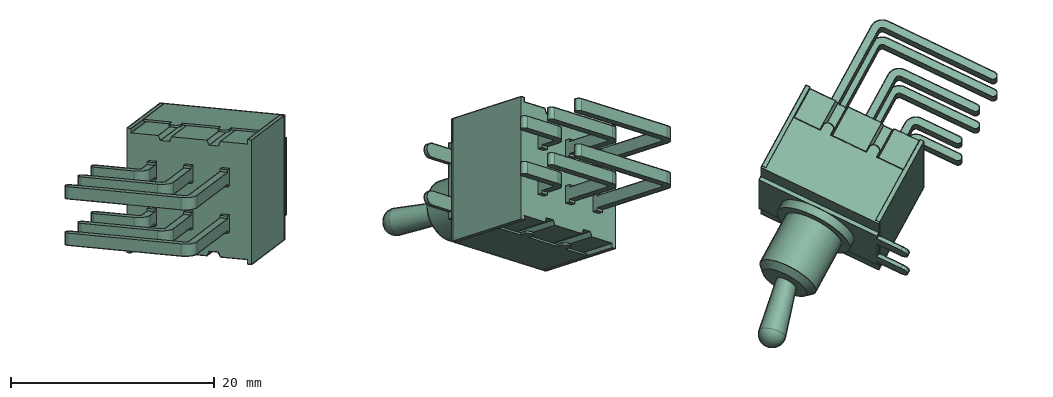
import cadquery as cq
import math


overall_length = 34.8
terminal_reach = 10.8
case_width = 13.0
case_height = 12.7
case_depth = 9.53

sheet = 0.2
rim = 0.45
flap_end_y = 3.55
recess_depth = 0.45
groove_depth = 0.95
groove_top_width = 1.4
groove_floor_width = 0.95
groove_offset = 2.55
tongue_width = 1.15
tongue_length = 1.05
tongue_bulge = 0.35

bracket_thickness = 0.42
bracket_height = 7.85
leg_length = 3.37
leg_width = 1.45
leg_offset = 2.47

collar_diameter = 8.05
collar_thickness = 0.95
bushing_diameter = 6.2
bushing_length = 7.13
bushing_chamfer = 0.65

lever_end_diameter = 2.05
lever_ball_diameter = 2.7
lever_length = 6.23
lever_tilt = 12.5

terminal_pitch = 3.8
terminal_row_offset = 2.35
terminal_thickness = 0.8
terminal_width = 1.25
terminal_tip_x = -9.22
bend_radius = 1.22
shoulder_width = 1.77
shoulder_length = 0.55

cover_top_y = case_depth + sheet
bracket_top_y = cover_top_y + bracket_thickness
collar_top_y = bracket_top_y + collar_thickness
bushing_top_y = bracket_top_y + bushing_length
ball_y = overall_length - terminal_reach - lever_ball_diameter / 2
lever_end_y = ball_y - lever_length * math.cos(math.radians(lever_tilt))

flap_width = case_width - 2 * rim
half_height = case_height / 2
diagonal = math.sqrt(0.5)


def box(x_range, y_range, z_range):
    """Solid block between the given limits."""
    size = [limits[1] - limits[0] for limits in (x_range, y_range, z_range)]
    corner = (x_range[0], y_range[0], z_range[0])
    return cq.Workplane("XY").box(*size, centered=False).translate(corner)


def disc(diameter, y_start, y_end):
    """Cylinder on the bushing axis."""
    plane = cq.Workplane("XZ", origin=(0, y_start, 0))
    return plane.circle(diameter / 2).extrude(-(y_end - y_start))


def both_sides(shape):
    """The shape together with its mirror image in the Z = 0 plane."""
    return shape.union(shape.mirror("XY"))


def make_tongue(center_x):
    shoulder_y = flap_end_y - tongue_length + tongue_bulge
    left = center_x - tongue_width / 2
    right = center_x + tongue_width / 2
    return (
        cq.Workplane("XY", origin=(0, 0, half_height - sheet))
        .moveTo(left, flap_end_y)
        .lineTo(left, shoulder_y)
        .threePointArc((center_x, flap_end_y - tongue_length), (right, shoulder_y))
        .lineTo(right, flap_end_y)
        .close()
        .extrude(sheet)
    )


def make_cover():
    half_width = case_width / 2
    end_plate = box((-half_width, half_width), (case_depth, cover_top_y), (-half_height, half_height))
    flap = box(
        (-flap_width / 2, flap_width / 2),
        (flap_end_y, cover_top_y),
        (half_height - sheet, half_height),
    )
    for center_x in (-groove_offset, groove_offset):
        flap = flap.union(make_tongue(center_x))
    return end_plate.union(both_sides(flap))


def make_side_recess():
    """Shallow recess for a cover flap, which stands clear of the recess floor."""
    half_width = flap_width / 2
    return box((-half_width, half_width), (0, case_depth), (half_height - recess_depth, half_height))


def make_groove(center_x):
    """Groove with sloping sides, running the full depth of the case."""
    floor_z = half_height - groove_depth
    top_z = half_height - recess_depth
    return (
        cq.Workplane("XZ")
        .polyline([
            (center_x - groove_floor_width / 2, floor_z),
            (center_x + groove_floor_width / 2, floor_z),
            (center_x + groove_top_width / 2, top_z),
            (center_x - groove_top_width / 2, top_z),
        ])
        .close()
        .extrude(-case_depth)
    )


def make_terminal(column, row_z):
    """Flat terminal with a shoulder at the case, bent square towards -X."""
    half_thickness = terminal_thickness / 2
    stem_x = column * terminal_pitch
    lowest_arm_y = half_thickness - terminal_reach
    arm_y = lowest_arm_y + (1 - column) * terminal_pitch
    inner_x = stem_x - half_thickness
    outer_x = stem_x + half_thickness
    upper_y = arm_y + half_thickness
    lower_y = arm_y - half_thickness
    inner_radius = bend_radius - terminal_thickness
    bend_x = outer_x - bend_radius
    bend_y = lower_y + bend_radius
    inner_mid = inner_radius * diagonal
    outer_mid = bend_radius * diagonal
    tip_center_x = terminal_tip_x + half_thickness
    strip = (
        cq.Workplane("XY", origin=(0, 0, row_z - terminal_width / 2))
        .moveTo(inner_x, 0)
        .lineTo(inner_x, bend_y)
        .threePointArc((bend_x + inner_mid, bend_y - inner_mid), (bend_x, upper_y))
        .lineTo(tip_center_x, upper_y)
        .threePointArc((terminal_tip_x, arm_y), (tip_center_x, lower_y))
        .lineTo(bend_x, lower_y)
        .threePointArc((bend_x + outer_mid, bend_y - outer_mid), (outer_x, bend_y))
        .lineTo(outer_x, 0)
        .close()
        .extrude(terminal_width)
    )
    shoulder = box(
        (inner_x, outer_x),
        (-shoulder_length, 0),
        (row_z - shoulder_width / 2, row_z + shoulder_width / 2),
    )
    return strip.union(shoulder)


def make_case():
    half_width = case_width / 2
    case = box((-half_width, half_width), (0, case_depth), (-half_height, half_height))
    case = case.cut(both_sides(make_side_recess()))
    for center_x in (-groove_offset, groove_offset):
        case = case.cut(both_sides(make_groove(center_x)))
    for row_z in (-terminal_row_offset, terminal_row_offset):
        for column in (-1, 0, 1):
            case = case.union(make_terminal(column, row_z))
    return case


def make_bracket():
    half_width = case_width / 2
    thickness_range = (cover_top_y, bracket_top_y)
    bracket = box((-half_width, half_width), thickness_range, (-bracket_height / 2, bracket_height / 2))
    leg_radius = leg_width / 2
    round_x = leg_radius - half_width - leg_length
    for center_z in (-leg_offset, leg_offset):
        leg_z = (center_z - leg_radius, center_z + leg_radius)
        leg = box((round_x, -half_width), thickness_range, leg_z)
        leg_tip = disc(leg_width, *thickness_range).translate((round_x, 0, center_z))
        bracket = bracket.union(leg).union(leg_tip)
    return bracket


def make_lever():
    ball_radius = lever_ball_diameter / 2
    ball_mid = ball_radius * diagonal
    upright = (
        cq.Workplane("XY")
        .lineTo(lever_end_diameter / 2, 0)
        .lineTo(ball_radius, lever_length)
        .threePointArc((ball_mid, lever_length + ball_mid), (0, lever_length + ball_radius))
        .close()
        .revolve(360, (0, 0), (0, 1))
    )
    return upright.rotate((0, 0, 0), (0, 0, 1), lever_tilt).translate((0, lever_end_y, 0))


def make_bushing(lever_body):
    bushing = disc(bushing_diameter, bracket_top_y, bushing_top_y)
    bushing = bushing.faces(">Y").chamfer(bushing_chamfer)
    return bushing.cut(lever_body)


def make_collar():
    collar = disc(collar_diameter, bracket_top_y, collar_top_y)
    return collar.cut(disc(bushing_diameter, bracket_top_y, collar_top_y))


case = make_case()
cover = make_cover()
bracket = make_bracket()
collar = make_collar()
lever = make_lever()
bushing = make_bushing(lever)

result = cq.Compound.makeCompound([
    case.solids().val(),
    cover.solids().val(),
    bracket.solids().val(),
    collar.solids().val(),
    bushing.solids().val(),
    lever.solids().val(),
])